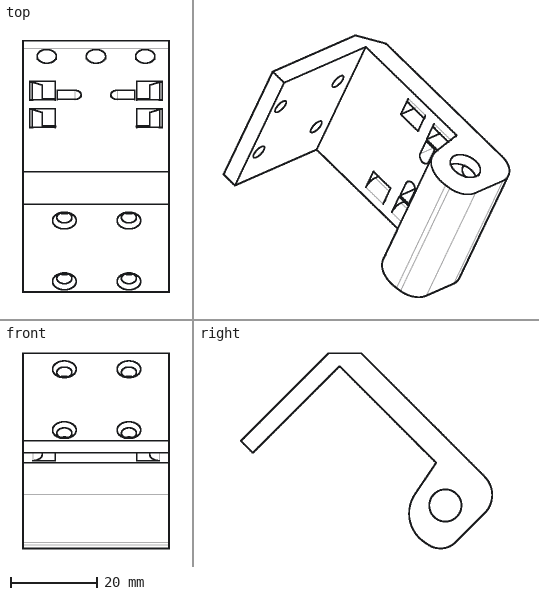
import cadquery as cq
import math

TILT = -45.0

WIDTH = 34.0

ARM_TOP = 11.2
ARM_THICKNESS = 5.7
ARM_BOTTOM = ARM_TOP - ARM_THICKNESS

PLATE_FACE = -44.27
PLATE_THICKNESS = 4.0
PLATE_INNER = PLATE_FACE + PLATE_THICKNESS
PLATE_END = -23.0
CORNER_BEVEL = 5.35

BARREL_BACK = 7.74
BARREL_FRONT = 7.35
BARREL_BASE = 9.8
BARREL_LEAN = math.radians(11.0)
BACK_TOP_RADIUS = 6.0
FRONT_BASE_RADIUS = 8.0
BACK_BASE_RADIUS = 5.0

BORE_DIAMETER = 7.43
COUNTERBORE_DIAMETER = 12.09
COUNTERBORE_DEPTH = 31.0

RADIAL_DIAMETER = 4.5
RADIAL_PITCH = 11.45
RADIAL_Y = -1.0

SCREW_DIAMETER = 3.5
SINK_DIAMETER = 5.5
SINK_DEPTH = (SINK_DIAMETER - SCREW_DIAMETER) / 2
SCREW_PITCH_X = 15.0
SCREW_PITCH_Z = 20.0
SCREW_CENTRE_X = 0.15
SCREW_EDGE_DISTANCE = 3.5
SCREW_LOW_Z = PLATE_END + SCREW_EDGE_DISTANCE

WINDOW_INNER_X = 9.45
WINDOW_THROAT_X = 12.45
WINDOW_LEDGE_X = 14.85
WINDOW_OUTER_X = 15.35
WINDOW_LENGTH = 6.0
WINDOW_PITCH = 9.0
WINDOW_END_Y = -9.25
LEDGE_DEPTH = 0.2
RAMP_DEPTH = 1.2
STRAP_RADIUS = 2.2

SLOT_OUTER_X = 9.0
SLOT_TIP_X = 3.45
SLOT_WIDTH = 3.0
SLOT_END_Y = -15.15


def barrel_point(along_front, along_base):
    """Point given by its distances from the bore axis toward the front wall and the base."""
    y = -along_front * math.cos(BARREL_LEAN) + along_base * math.sin(BARREL_LEAN)
    z = -along_front * math.sin(BARREL_LEAN) - along_base * math.cos(BARREL_LEAN)
    return y, z


def make_body():
    front_corner = barrel_point(BARREL_FRONT, BARREL_BASE)
    foot_y = front_corner[0] - (ARM_BOTTOM - front_corner[1]) * math.tan(BARREL_LEAN)
    base_rise = (BARREL_BACK - front_corner[0]) * math.tan(BARREL_LEAN)
    back_corner = (BARREL_BACK, front_corner[1] + base_rise)
    top_corner = (BARREL_BACK, ARM_TOP)
    outline = [
        top_corner,
        (PLATE_FACE + CORNER_BEVEL, ARM_TOP),
        (PLATE_FACE, ARM_TOP - CORNER_BEVEL),
        (PLATE_FACE, PLATE_END),
        (PLATE_INNER, PLATE_END),
        (PLATE_INNER, ARM_BOTTOM),
        (foot_y, ARM_BOTTOM),
        front_corner,
        back_corner,
    ]
    body = cq.Workplane("YZ").polyline(outline).close().extrude(WIDTH / 2, both=True)
    rounds = [
        (top_corner, BACK_TOP_RADIUS),
        (front_corner, FRONT_BASE_RADIUS),
        (back_corner, BACK_BASE_RADIUS),
    ]
    for corner, radius in rounds:
        nearest = cq.selectors.NearestToPointSelector((0, corner[0], corner[1]))
        body = body.edges("|X").edges(nearest).fillet(radius)
    return body


def make_bore():
    left_side = cq.Workplane("YZ", origin=(-WIDTH / 2, 0, 0))
    bore = left_side.circle(BORE_DIAMETER / 2).extrude(WIDTH)
    return bore.union(left_side.circle(COUNTERBORE_DIAMETER / 2).extrude(COUNTERBORE_DEPTH))


def make_radial_holes():
    places = [(step * RADIAL_PITCH, RADIAL_Y) for step in (-1, 0, 1)]
    return cq.Workplane("XY").pushPoints(places).circle(RADIAL_DIAMETER / 2).extrude(ARM_TOP)


def make_screw_hole(x, z):
    profile = [
        (0, 0),
        (SINK_DIAMETER / 2, 0),
        (SCREW_DIAMETER / 2, SINK_DEPTH),
        (SCREW_DIAMETER / 2, PLATE_THICKNESS),
        (0, PLATE_THICKNESS),
    ]
    hole = cq.Workplane("XY").polyline(profile).close().revolve(360, (0, 0, 0), (0, 1, 0))
    return hole.translate((x, PLATE_FACE, z))


def make_window(end_y):
    """Window on the +X side, ramped from a shallow ledge at the top, rounded at the bottom."""
    return (
        cq.Workplane("XZ", origin=(0, end_y, 0))
        .moveTo(WINDOW_INNER_X, ARM_TOP)
        .lineTo(WINDOW_OUTER_X, ARM_TOP)
        .lineTo(WINDOW_OUTER_X, ARM_TOP - LEDGE_DEPTH)
        .lineTo(WINDOW_LEDGE_X, ARM_TOP - LEDGE_DEPTH)
        .lineTo(WINDOW_THROAT_X, ARM_TOP - RAMP_DEPTH)
        .lineTo(WINDOW_THROAT_X, ARM_BOTTOM + STRAP_RADIUS)
        .radiusArc((WINDOW_THROAT_X + STRAP_RADIUS, ARM_BOTTOM), -STRAP_RADIUS)
        .lineTo(WINDOW_INNER_X, ARM_BOTTOM)
        .close()
        .extrude(WINDOW_LENGTH)
    )


def make_slot():
    """Slot on the +X side: square outer end, round inner end."""
    radius = SLOT_WIDTH / 2
    return (
        cq.Workplane("XY", origin=(0, 0, ARM_BOTTOM))
        .moveTo(SLOT_OUTER_X, SLOT_END_Y)
        .lineTo(SLOT_OUTER_X, SLOT_END_Y + SLOT_WIDTH)
        .lineTo(SLOT_TIP_X + radius, SLOT_END_Y + SLOT_WIDTH)
        .threePointArc((SLOT_TIP_X, SLOT_END_Y + radius), (SLOT_TIP_X + radius, SLOT_END_Y))
        .close()
        .extrude(ARM_THICKNESS)
    )


bracket = make_body().cut(make_bore()).cut(make_radial_holes())

for side in (-1, 1):
    for row in (0, 1):
        screw_x = SCREW_CENTRE_X + side * SCREW_PITCH_X / 2
        bracket = bracket.cut(make_screw_hole(screw_x, SCREW_LOW_Z + row * SCREW_PITCH_Z))

side_openings = [make_window(WINDOW_END_Y), make_window(WINDOW_END_Y - WINDOW_PITCH), make_slot()]
for opening in side_openings:
    bracket = bracket.cut(opening).cut(opening.mirror("YZ"))

result = bracket.rotate((0, 0, 0), (1, 0, 0), TILT)